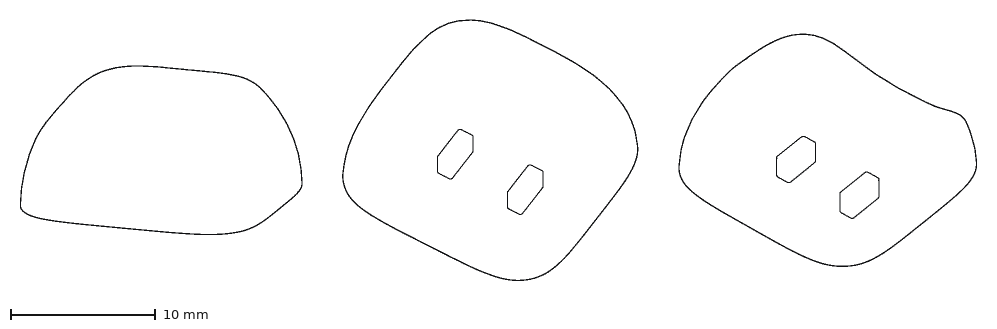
import cadquery as cq
import math

BODY_LENGTH_X = 17.5
BODY_LENGTH_Y = 16.48
BASE_EXPONENT = 4.5
EXPONENT_DROP = 0.1714
OUTLINE_POINTS = 36
WALL_STRAIGHT = 0.7
WALL_RADIUS = 10.85
WALL_TOP = 9.1
WALL_LEVELS = 6
BASE_FILLET = 0.25
RIM_FILLET = 1.22

DISH_CENTER_Y = -0.49
DISH_CENTER_Z = 5.62
DISH_TILT = 19.3
RIM_DISTANCE = 6.12
RIM_LIFT = 0.61
LIFT_GAIN = 0.03
LIFT_POWER = 2.6
FRONT_STRAIGHT = 4.5
FRONT_RADIUS = 6.82
FRONT_ROLL = 45.0
REAR_RUN = 9.1
DISH_HALF_WIDTH = 9.45
DISH_STEP = 1.05
DISH_TOLERANCE = 0.05
CUT_HEIGHT = 15.75

PIN_LENGTH_X = 1.22
PIN_LENGTH_Y = 2.98
PIN_DEPTH = 1.78
PIN_SPACING = 5.7
PIN_FILLET = 0.2
PIN_OVERLAP = 0.88


def wall_inset(height):
    """Distance the wall has leaned inwards at a height."""
    rise = max(0.0, height - WALL_STRAIGHT)
    return WALL_RADIUS - math.sqrt(WALL_RADIUS**2 - rise**2)


def outline(height):
    """Closed superellipse outline of the body at a height."""
    exponent = BASE_EXPONENT - EXPONENT_DROP * height
    half_x = BODY_LENGTH_X / 2 - wall_inset(height)
    half_y = BODY_LENGTH_Y / 2 - wall_inset(height)
    points = []
    for i in range(OUTLINE_POINTS):
        angle = 2 * math.pi * i / OUTLINE_POINTS
        c = math.cos(angle)
        s = math.sin(angle)
        reach = (abs(c) ** exponent + abs(s) ** exponent) ** (-1 / exponent)
        points.append(cq.Vector(half_x * reach * c, half_y * reach * s, height))
    return cq.Wire.assembleEdges([cq.Edge.makeSpline(points, periodic=True)])


def make_dome():
    step = (WALL_TOP - WALL_STRAIGHT) / WALL_LEVELS
    heights = [0.0] + [WALL_STRAIGHT + i * step for i in range(WALL_LEVELS + 1)]
    return cq.Workplane(cq.Solid.makeLoft([outline(h) for h in heights]))


def dish_path(run):
    """Forward distance, drop and downward slope (radians) after a run from the dish centre."""
    tilt = math.radians(DISH_TILT)
    straight = min(run, FRONT_STRAIGHT)
    slope = tilt + (run - straight) / FRONT_RADIUS
    forward = straight * math.cos(tilt) + FRONT_RADIUS * (math.sin(slope) - math.sin(tilt))
    drop = straight * math.sin(tilt) + FRONT_RADIUS * (math.cos(tilt) - math.cos(slope))
    return forward, drop, slope


def dish_point(run, x):
    """Point of the dish surface, lifted square to the path: a trough in front, a bowl behind."""
    forward, drop, slope = dish_path(run)
    distance = math.hypot(x, min(run, 0.0))
    lift = (RIM_LIFT + LIFT_GAIN * run) * (distance / RIM_DISTANCE) ** LIFT_POWER
    y = DISH_CENTER_Y - forward - lift * math.sin(slope)
    z = DISH_CENTER_Z - drop + lift * math.cos(slope)
    return cq.Vector(x, y, z)


def make_dish_cutter():
    front_run = FRONT_STRAIGHT + FRONT_RADIUS * math.radians(FRONT_ROLL)
    total_run = front_run + REAR_RUN
    rows = math.ceil(total_run / DISH_STEP)
    columns = math.ceil(2 * DISH_HALF_WIDTH / DISH_STEP)
    offsets = [DISH_HALF_WIDTH * (2 * j / columns - 1) for j in range(columns + 1)]
    grid = []
    for i in range(rows + 1):
        run = -REAR_RUN + total_run * i / rows
        grid.append([dish_point(run, x) for x in offsets])
    surface = cq.Face.makeSplineApprox(grid, tol=DISH_TOLERANCE)
    return cq.Workplane(cq.Solid.extrudeLinear(surface, cq.Vector(0, 0, CUT_HEIGHT)))


def make_pins():
    return (
        cq.Workplane("XY", origin=(0, 0, -PIN_DEPTH))
        .pushPoints([(-PIN_SPACING / 2, 0), (PIN_SPACING / 2, 0)])
        .rect(PIN_LENGTH_X, PIN_LENGTH_Y)
        .extrude(PIN_DEPTH + PIN_OVERLAP)
        .edges("|Z or <Z")
        .fillet(PIN_FILLET)
    )


def make_body():
    """Dome with the dish cut into its top and both rims rounded."""
    dished = make_dome().cut(make_dish_cutter())
    above_base = cq.selectors.BoxSelector(
        (-BODY_LENGTH_X, -BODY_LENGTH_Y, WALL_STRAIGHT),
        (BODY_LENGTH_X, BODY_LENGTH_Y, WALL_TOP),
    )
    rounded = dished.edges(above_base).fillet(RIM_FILLET)
    return rounded.faces("<Z").edges().fillet(BASE_FILLET)


result = make_body().union(make_pins())